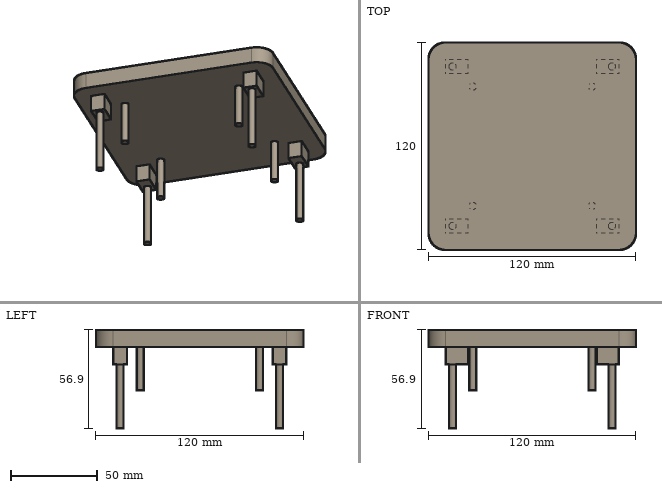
import cadquery as cq

PLATE_SIDE = 120.0
PLATE_THICKNESS = 10.0
CORNER_RADIUS = 10.0

FOOT_LENGTH = 13.0
FOOT_WIDTH = 8.0
FOOT_HEIGHT = 10.0
FOOT_OUTER = PLATE_SIDE / 2 - CORNER_RADIUS

OVERALL_HEIGHT = 56.9
LEG_DIAMETER = 4.2
LEG_OFFSET = FOOT_OUTER - FOOT_WIDTH / 2
LEG_LENGTH = OVERALL_HEIGHT - PLATE_THICKNESS - FOOT_HEIGHT

PIN_DIAMETER = 4.2
PIN_LENGTH = 25.0
PIN_OFFSET = 34.5

CORNERS = [(-1, -1), (1, -1), (1, 1), (-1, 1)]


def make_foot(side_x, side_y):
    """Rectangular foot hanging from the plate at one corner."""
    center_x = side_x * (FOOT_OUTER - FOOT_LENGTH / 2)
    center_y = side_y * (FOOT_OUTER - FOOT_WIDTH / 2)
    foot = cq.Workplane("XY").rect(FOOT_LENGTH, FOOT_WIDTH).extrude(-FOOT_HEIGHT)
    return foot.translate((center_x, center_y, 0))


def make_plate():
    """Rounded square plate with one foot near each corner."""
    plate = (
        cq.Workplane("XY")
        .rect(PLATE_SIDE, PLATE_SIDE)
        .extrude(PLATE_THICKNESS)
        .edges("|Z")
        .fillet(CORNER_RADIUS)
    )
    for side_x, side_y in CORNERS:
        plate = plate.union(make_foot(side_x, side_y))
    return plate


def make_rod(diameter, length, x, y, top_z):
    """Upright cylinder hanging down from top_z."""
    return cq.Workplane("XY").circle(diameter / 2).extrude(-length).translate((x, y, top_z))


def make_leg(side_x, side_y):
    """Long leg standing under a foot."""
    return make_rod(LEG_DIAMETER, LEG_LENGTH, side_x * LEG_OFFSET, side_y * LEG_OFFSET, -FOOT_HEIGHT)


def make_short_pin(side_x, side_y):
    """Short pin hanging from the underside of the plate."""
    return make_rod(PIN_DIAMETER, PIN_LENGTH, side_x * PIN_OFFSET, side_y * PIN_OFFSET, 0)


plate = make_plate()
legs = [make_leg(side_x, side_y).val() for side_x, side_y in CORNERS]
short_pins = [make_short_pin(side_x, side_y).val() for side_x, side_y in CORNERS]

result = cq.Compound.makeCompound([plate.val(), *legs, *short_pins])